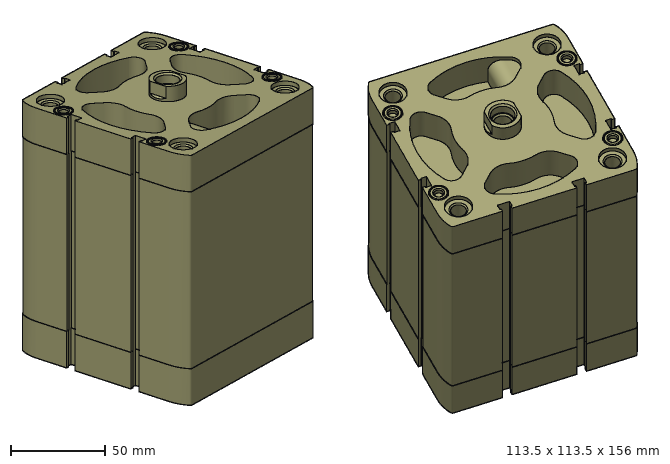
import cadquery as cq
import math

side = 113.5
half_side = side / 2
housing_height = 147.0
cap_height = 21.5
tube_height = housing_height - 2 * cap_height

corner_start = 44.5
corner_radius = 24.0
tube_inset = 0.25
edge_radius = 1.45

slot_spacing = 43.0
slot_mouth_width = 5.5
slot_width = 7.0
slot_lip = 1.8
slot_depth = 5.0

pocket_depth = 19.0
pocket_outer_radius = 49.5
pocket_inner_radius = 27.5
rib_half_width = 6.7
shoulder_radius = 12.0
pocket_end_radius = 6.0

boss_flank_y = -11.8
boss_edge_radius = 8.0
boss_top_gap = 2.4

mount_spacing = 89.0
mount_hole_diameter = 8.38
mount_thread_diameter = 10.0
mount_counterbore_diameter = 15.0
mount_counterbore_depth = 2.5

screw_x = 31.2
screw_y = 50.3
screw_counterbore_diameter = 10.7
screw_head_diameter = 10.0
screw_gap_depth = 2.0
screw_head_chamfer = 0.5
socket_mouth_diameter = 6.3
socket_diameter = 5.0
socket_depth = 3.0
socket_point_angle = 140.0
drill_point_angle = 118.0

rod_diameter = 20.0
rod_protrusion = 9.0
rod_engagement = cap_height
wrench_size = 17.0
flat_height = 7.0
flat_run_out_angle = 30.0
bore_mouth_diameter = 15.0
bore_diameter = 13.0
bore_depth = 6.0
thread_mouth_diameter = 12.0
thread_diameter = 10.11
thread_depth = 22.0


def cone_height(diameter, point_angle):
    return diameter / 2 / math.tan(math.radians(point_angle / 2))


def square_section(inset, bottom, height):
    """Prism whose +Y and -Y faces curve away towards the side faces."""
    reach = half_side - inset
    run = reach - corner_start
    drop = corner_radius - math.sqrt(corner_radius**2 - run**2)
    mid_angle = math.asin(run / corner_radius) / 2
    mid_x = corner_start + corner_radius * math.sin(mid_angle)
    mid_y = reach - corner_radius * (1 - math.cos(mid_angle))
    end_y = reach - drop
    return (
        cq.Workplane("XY", origin=(0, 0, bottom))
        .moveTo(-corner_start, reach)
        .lineTo(corner_start, reach)
        .threePointArc((mid_x, mid_y), (reach, end_y))
        .lineTo(reach, -end_y)
        .threePointArc((mid_x, -mid_y), (corner_start, -reach))
        .lineTo(-corner_start, -reach)
        .threePointArc((-mid_x, -mid_y), (-reach, -end_y))
        .lineTo(-reach, end_y)
        .threePointArc((-mid_x, mid_y), (-corner_start, reach))
        .close()
        .extrude(height)
        .edges("|Z and (>X or <X)")
        .fillet(edge_radius)
    )


def slot_cutters(inset, bottom, height):
    """T-slots on the +Y, -Y and -X faces of one section."""
    floor_y = half_side - inset - slot_depth
    cutters = []
    for turn in (0, 90, 180):
        for offset in (-slot_spacing / 2, slot_spacing / 2):
            base = cq.Workplane("XY", origin=(offset, floor_y, bottom))
            mouth = base.box(slot_mouth_width, slot_depth, height, centered=(True, False, False))
            groove = base.box(slot_width, slot_depth - slot_lip, height, centered=(True, False, False))
            cutters.append(mouth.union(groove).rotate((0, 0, 0), (0, 0, 1), turn))
    return cutters


def slotted_section(inset, bottom, height):
    section = square_section(inset, bottom, height)
    for cutter in slot_cutters(inset, bottom, height):
        section = section.cut(cutter)
    return section


def polar(radius, angle):
    return (radius * math.cos(angle), radius * math.sin(angle))


def offset_point(center, radius, angle):
    step = polar(radius, angle)
    return (center[0] + step[0], center[1] + step[1])


def pocket_cutter():
    """Pocket on the +X side, bounded by two ribs along the diagonals."""
    rib_angle = math.pi / 4
    shoulder_distance = pocket_inner_radius + shoulder_radius
    shoulder_angle = rib_angle - math.asin((rib_half_width + shoulder_radius) / shoulder_distance)
    shoulder_center = polar(shoulder_distance, shoulder_angle)
    end_distance = pocket_outer_radius - pocket_end_radius
    end_angle = rib_angle - math.asin((rib_half_width + pocket_end_radius) / end_distance)
    end_center = polar(end_distance, end_angle)
    rib_normal = rib_angle + math.pi / 2

    inner_tangent = polar(pocket_inner_radius, shoulder_angle)
    shoulder_mid_angle = (shoulder_angle + math.pi + rib_normal) / 2
    shoulder_mid = offset_point(shoulder_center, shoulder_radius, shoulder_mid_angle)
    rib_start = offset_point(shoulder_center, shoulder_radius, rib_normal)
    rib_end = offset_point(end_center, pocket_end_radius, rib_normal)
    end_mid = offset_point(end_center, pocket_end_radius, (rib_normal + end_angle) / 2)
    outer_tangent = polar(pocket_outer_radius, end_angle)

    def mirrored(point):
        return (point[0], -point[1])

    return (
        cq.Workplane("XY", origin=(0, 0, housing_height - pocket_depth))
        .moveTo(*inner_tangent)
        .threePointArc(shoulder_mid, rib_start)
        .lineTo(*rib_end)
        .threePointArc(end_mid, outer_tangent)
        .threePointArc((pocket_outer_radius, 0), mirrored(outer_tangent))
        .threePointArc(mirrored(end_mid), mirrored(rib_end))
        .lineTo(*mirrored(rib_start))
        .threePointArc(mirrored(shoulder_mid), mirrored(inner_tangent))
        .threePointArc((pocket_inner_radius, 0), inner_tangent)
        .close()
        .extrude(pocket_depth)
    )


def port_boss():
    """Raised step with a rounded edge at the -Y end of the +X pocket floor."""
    height = pocket_depth - boss_top_gap
    return (
        cq.Workplane("XY", origin=(0, boss_flank_y, housing_height - pocket_depth))
        .rect(half_side, -half_side, centered=False)
        .extrude(height)
        .edges("|X and >Y and >Z")
        .fillet(boss_edge_radius)
    )


def corner_points(x, y):
    return [(x, y), (-x, y), (x, -y), (-x, -y)]


def mount_cutter():
    """Counterbored tapped hole, right through the housing."""
    radius = mount_hole_diameter / 2
    thread_radius = mount_thread_diameter / 2
    counterbore_radius = mount_counterbore_diameter / 2
    seat_z = housing_height - mount_counterbore_depth
    return (
        cq.Workplane("XZ")
        .moveTo(0, 0)
        .lineTo(radius, 0)
        .lineTo(radius, seat_z - (thread_radius - radius))
        .lineTo(thread_radius, seat_z)
        .lineTo(counterbore_radius, seat_z)
        .lineTo(counterbore_radius, housing_height)
        .lineTo(0, housing_height)
        .close()
        .revolve(360, (0, 0, 0), (0, 1, 0))
    )


def screw_cutters():
    """Ring gap around a screw head, and the head's countersunk drive socket."""
    head_radius = screw_head_diameter / 2
    top = housing_height
    gap = (
        cq.Workplane("XZ")
        .moveTo(head_radius, top - screw_gap_depth)
        .lineTo(screw_counterbore_diameter / 2, top - screw_gap_depth)
        .lineTo(screw_counterbore_diameter / 2, top)
        .lineTo(head_radius - screw_head_chamfer, top)
        .lineTo(head_radius, top - screw_head_chamfer)
        .close()
        .revolve(360, (0, 0, 0), (0, 1, 0))
    )
    socket_radius = socket_diameter / 2
    mouth_radius = socket_mouth_diameter / 2
    socket = (
        cq.Workplane("XZ")
        .moveTo(0, top)
        .lineTo(mouth_radius, top)
        .lineTo(socket_radius, top - (mouth_radius - socket_radius))
        .lineTo(socket_radius, top - socket_depth)
        .lineTo(0, top - socket_depth - cone_height(socket_diameter, socket_point_angle))
        .close()
        .revolve(360, (0, 0, 0), (0, 1, 0))
    )
    return gap, socket


def build_housing():
    body = slotted_section(0, 0, cap_height)
    body = body.union(slotted_section(tube_inset, cap_height, tube_height))
    body = body.union(slotted_section(0, cap_height + tube_height, cap_height))

    pocket = pocket_cutter()
    body = body.cut(pocket.cut(port_boss()))
    for turn in (90, 180, 270):
        body = body.cut(pocket.rotate((0, 0, 0), (0, 0, 1), turn))

    mount = mount_cutter()
    for x, y in corner_points(mount_spacing / 2, mount_spacing / 2):
        body = body.cut(mount.translate((x, y, 0)))

    for x, y in corner_points(screw_x, screw_y):
        for cutter in screw_cutters():
            body = body.cut(cutter.translate((x, y, 0)))

    rod_hole = (
        cq.Workplane("XY", origin=(0, 0, housing_height - rod_engagement))
        .circle(rod_diameter / 2)
        .extrude(rod_engagement)
    )
    return body.cut(rod_hole)


def build_rod():
    top = housing_height + rod_protrusion
    rod = (
        cq.Workplane("XY", origin=(0, 0, housing_height - rod_engagement))
        .circle(rod_diameter / 2)
        .extrude(rod_engagement + rod_protrusion)
    )

    flat_y = wrench_size / 2
    run_out_y = rod_diameter / 2
    run_out_drop = (run_out_y - flat_y) * math.tan(math.radians(flat_run_out_angle))
    flat = (
        cq.Workplane("YZ")
        .moveTo(flat_y, top)
        .lineTo(flat_y, top - flat_height)
        .lineTo(run_out_y, top - flat_height - run_out_drop)
        .lineTo(run_out_y, top)
        .close()
        .extrude(rod_diameter / 2, both=True)
    )
    rod = rod.cut(flat).cut(flat.mirror("XZ"))

    bore_radius = bore_diameter / 2
    mouth_radius = bore_mouth_diameter / 2
    thread_mouth_radius = thread_mouth_diameter / 2
    thread_radius = thread_diameter / 2
    bore = (
        cq.Workplane("XZ")
        .moveTo(0, top)
        .lineTo(mouth_radius, top)
        .lineTo(bore_radius, top - (mouth_radius - bore_radius))
        .lineTo(bore_radius, top - bore_depth)
        .lineTo(thread_mouth_radius, top - bore_depth)
        .lineTo(thread_radius, top - bore_depth - (thread_mouth_radius - thread_radius))
        .lineTo(thread_radius, top - thread_depth)
        .lineTo(0, top - thread_depth - cone_height(thread_diameter, drill_point_angle))
        .close()
        .revolve(360, (0, 0, 0), (0, 1, 0))
    )
    return rod.cut(bore)


housing = build_housing()
rod = build_rod()

result = cq.Compound.makeCompound([housing.val(), rod.val()])